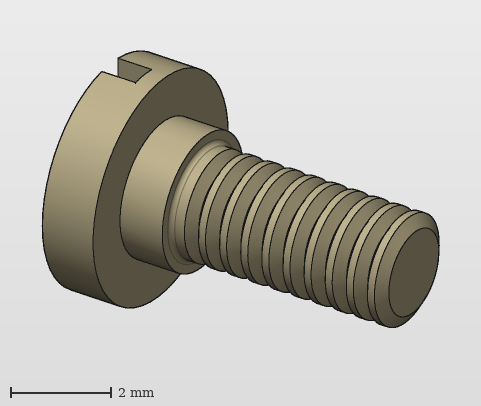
import cadquery as cq

total_length = 7.2
head_diameter = 5.0
head_length = 1.2
shoulder_diameter = 3.0
shoulder_length = 1.0
neck_fillet = 0.1

thread_diameter = 2.4
grooved_length = 4.5
thread_depth = 0.27
ring_count = 9
thread_pitch = grooved_length / ring_count

slot_width = 0.6
slot_depth = 0.8

shoulder_end = head_length + shoulder_length
thread_radius = thread_diameter / 2
root_radius = thread_radius - thread_depth
flank_length = thread_pitch / 3


def cylinder(start, length, diameter):
    """Round section of the screw, centred on the X axis."""
    return cq.Workplane("YZ", origin=(start, 0, 0)).circle(diameter / 2).extrude(length)


def shank():
    """Filleted neck followed by the grooved thread, revolved about the X axis."""
    first_root = total_length - grooved_length
    profile = (
        cq.Workplane("XZ")
        .moveTo(shoulder_end, 0)
        .lineTo(shoulder_end, thread_radius + neck_fillet)
        .radiusArc((shoulder_end + neck_fillet, thread_radius), -neck_fillet)
        .lineTo(first_root - flank_length, thread_radius)
        .lineTo(first_root, root_radius)
    )
    for ring in range(1, ring_count + 1):
        ring_end = total_length - (ring_count - ring) * thread_pitch
        ring_start = ring_end - thread_pitch
        profile = (
            profile.lineTo(ring_start + flank_length, thread_radius)
            .lineTo(ring_end - flank_length, thread_radius)
            .lineTo(ring_end, root_radius)
        )
    profile = profile.lineTo(total_length, 0).close()
    return profile.revolve(360, (0, 0, 0), (1, 0, 0))


def driver_slot():
    """Cutter for the slot, open at the head face and at both rim sides."""
    return cq.Workplane("XY").box(
        slot_depth, slot_width, head_diameter, centered=(False, True, True)
    )


head = cylinder(0, head_length, head_diameter)
shoulder = cylinder(head_length, shoulder_length, shoulder_diameter)
result = head.union(shoulder).union(shank()).cut(driver_slot())